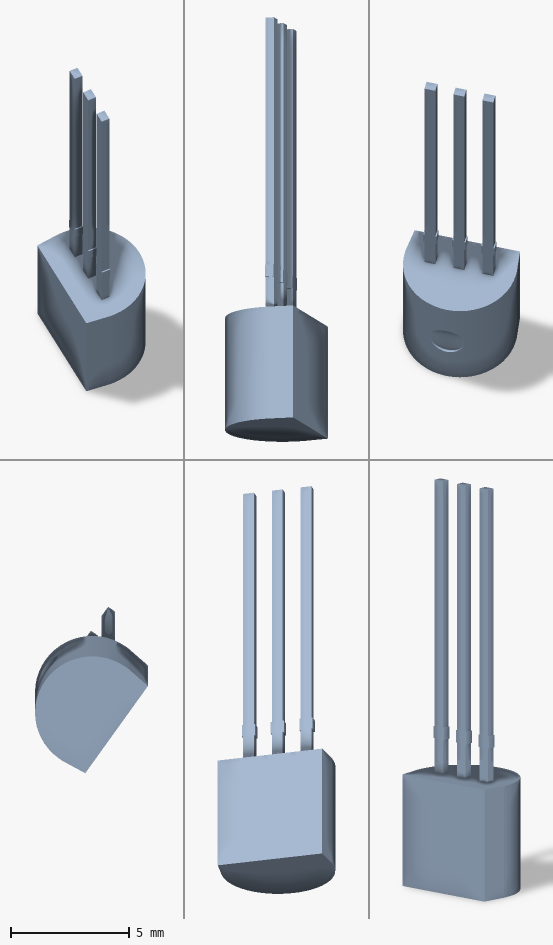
import cadquery as cq
import math

TOTAL_HEIGHT = 17.53

HOUSING_RADIUS = 2.42
HOUSING_HEIGHT = 4.84
HOUSING_DEPTH = 3.68
FRONT_WIDTH = 4.6
STRAIGHT_SIDE_LENGTH = 0.15
FRONT_Y = HOUSING_RADIUS - HOUSING_DEPTH

MARK_RADIUS = 0.75
MARK_RISE = 0.1
MARK_CENTER_Z = HOUSING_HEIGHT / 2 + MARK_RISE
MARK_FLOOR_Y = math.sqrt(HOUSING_RADIUS**2 - MARK_RADIUS**2)

LEAD_COUNT = 3
LEAD_PITCH = 1.26
LEAD_WIDTH = 0.47
LEAD_THICKNESS = 0.37
LEAD_Y = 0.05
LEAD_LENGTH = TOTAL_HEIGHT - HOUSING_HEIGHT
COLLAR_WIDTH = 0.58
COLLAR_HEIGHT = 0.53
COLLAR_RISE = 1.49


def make_housing():
    """D-shaped block with a round mark in its back."""
    block = (
        cq.Workplane("XY")
        .moveTo(-FRONT_WIDTH / 2, FRONT_Y)
        .lineTo(FRONT_WIDTH / 2, FRONT_Y)
        .lineTo(HOUSING_RADIUS, -STRAIGHT_SIDE_LENGTH)
        .lineTo(HOUSING_RADIUS, 0)
        .threePointArc((0, HOUSING_RADIUS), (-HOUSING_RADIUS, 0))
        .lineTo(-HOUSING_RADIUS, -STRAIGHT_SIDE_LENGTH)
        .close()
        .extrude(HOUSING_HEIGHT)
    )
    mark = (
        cq.Workplane("XZ", origin=(0, HOUSING_RADIUS, MARK_CENTER_Z))
        .circle(MARK_RADIUS)
        .extrude(HOUSING_RADIUS - MARK_FLOOR_Y)
    )
    return block.cut(mark)


def make_lead(x):
    """Rectangular lead standing on the housing, with a wider collar."""
    base = cq.Workplane("XY", origin=(x, LEAD_Y, HOUSING_HEIGHT))
    upright = (True, True, False)
    shank = base.box(LEAD_WIDTH, LEAD_THICKNESS, LEAD_LENGTH, centered=upright)
    collar = base.workplane(offset=COLLAR_RISE).box(
        COLLAR_WIDTH, LEAD_THICKNESS, COLLAR_HEIGHT, centered=upright
    )
    return shank.union(collar, clean=True)


housing = make_housing()

leads = []
for index in range(LEAD_COUNT):
    lead_x = (index - (LEAD_COUNT - 1) / 2) * LEAD_PITCH
    leads.append(make_lead(lead_x).val())

result = cq.Compound.makeCompound([housing.val(), *leads])